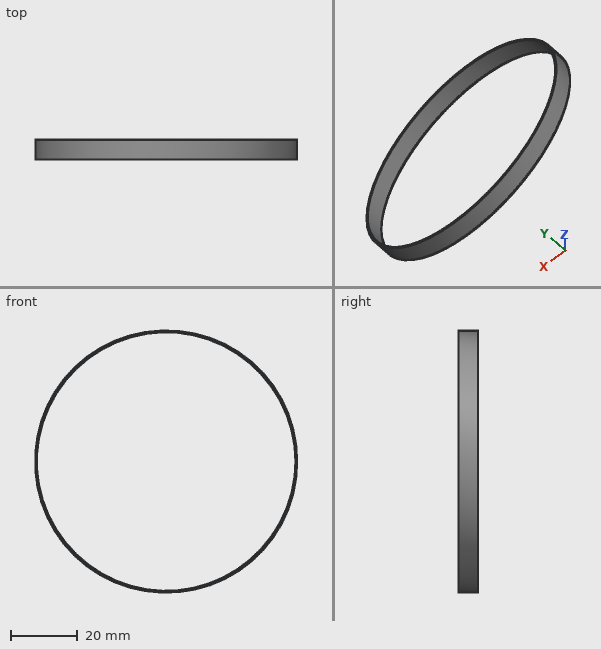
import cadquery as cq

outer_diameter = 78.6
wall_thickness = 0.5
ring_width = 6.0

outer_radius = outer_diameter / 2
inner_radius = outer_radius - wall_thickness

result = (
    cq.Workplane("XZ", origin=(0, ring_width / 2, 0))
    .circle(outer_radius)
    .circle(inner_radius)
    .extrude(ring_width)
)